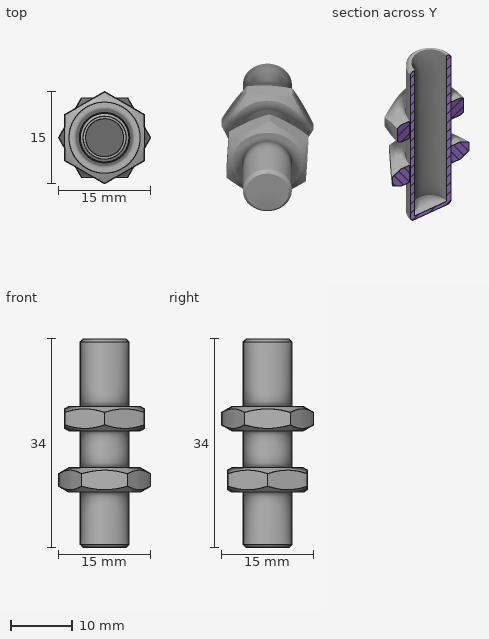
import cadquery as cq
import math

sleeve_diameter = 8.0
sleeve_length = 34.0
end_chamfer = 0.5
bore_diameter = 6.2
wall_thickness = (sleeve_diameter - bore_diameter) / 2
floor_thickness = wall_thickness

across_flats = 13.0
across_corners = across_flats / math.cos(math.radians(30))
nut_height = 4.0
nut_face_diameter = 11.6
nut_chamfer_angle = 30.0
nut_hole_clearance = 0.15
nut_hole_diameter = sleeve_diameter + nut_hole_clearance

nut_gap = 6.0
lower_nut_base = 9.0
upper_nut_base = lower_nut_base + nut_height + nut_gap
nut_places = [
    (lower_nut_base, 0.0),
    (upper_nut_base, 30.0),
]


def make_sleeve():
    """Round tube with chamfered ends and a bore open at the top."""
    body = (
        cq.Workplane("XY")
        .circle(sleeve_diameter / 2)
        .extrude(sleeve_length)
        .edges()
        .chamfer(end_chamfer)
    )
    bore = (
        cq.Workplane("XY")
        .workplane(offset=floor_thickness)
        .circle(bore_diameter / 2)
        .extrude(sleeve_length - floor_thickness)
    )
    return body.cut(bore)


def make_nut(base_height, turn):
    """Hexagon nut with its corners turned to a cone on both faces."""
    hexagon = cq.Workplane("XY").polygon(6, across_corners).extrude(nut_height)

    face_radius = nut_face_diameter / 2
    corner_radius = across_corners / 2
    corner_drop = (corner_radius - face_radius) * math.tan(math.radians(nut_chamfer_angle))
    turned_blank = (
        cq.Workplane("XZ")
        .moveTo(0, 0)
        .lineTo(face_radius, 0)
        .lineTo(corner_radius, corner_drop)
        .lineTo(corner_radius, nut_height - corner_drop)
        .lineTo(face_radius, nut_height)
        .lineTo(0, nut_height)
        .close()
        .revolve(360, (0, 0, 0), (0, 1, 0))
    )
    hole = cq.Workplane("XY").circle(nut_hole_diameter / 2).extrude(nut_height)

    nut = hexagon.intersect(turned_blank).cut(hole)
    return nut.rotate((0, 0, 0), (0, 0, 1), turn).translate((0, 0, base_height))


sleeve = make_sleeve()
nuts = [make_nut(base_height, turn) for base_height, turn in nut_places]

result = cq.Compound.makeCompound([sleeve.val(), *[nut.val() for nut in nuts]])